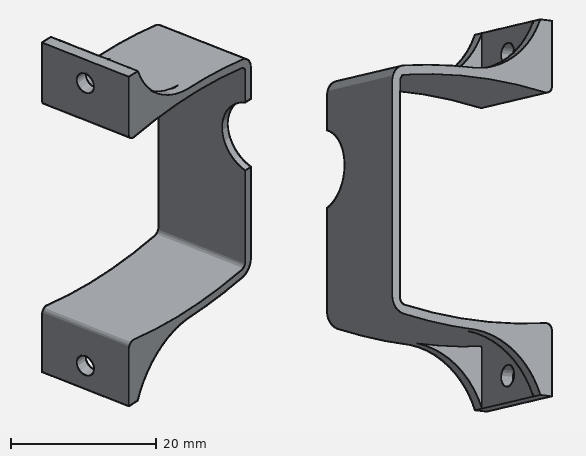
import cadquery as cq
import math

WIDTH = 15.2
DEPTH = 27.3
HEIGHT = 52.5

STRIP_THICKNESS = 1.3
BOW_INNER_RADIUS = 80.0
BOW_CENTER_Y = 13.05
BOW_INNER_PEAK_Z = 17.0
BEND_INNER_RADIUS = 1.0

FLANGE_THICKNESS = 2.0
FLANGE_LIP_RADIUS = 1.0
SWEEP_RADIUS = 12.7
SCREW_HOLE_DIAMETER = 3.0
SCREW_HOLE_Z = 22.5

WEB_THICKNESS = 1.65
POCKET_ROOT_RADIUS = 0.25

NOTCH_RADIUS = 5.65
NOTCH_DEPTH = 4.05
NOTCH_Z = 4.8

HALF_HEIGHT = HEIGHT / 2
WALL_INNER_Y = DEPTH - STRIP_THICKNESS
BEND_OUTER_RADIUS = BEND_INNER_RADIUS + STRIP_THICKNESS
BOW_OUTER_RADIUS = BOW_INNER_RADIUS + STRIP_THICKNESS
BOW_CENTER_Z = BOW_INNER_PEAK_Z - BOW_INNER_RADIUS
BOW_OUTER_PEAK_Z = BOW_INNER_PEAK_Z + STRIP_THICKNESS
POCKET_WIDTH = WIDTH - 2 * WEB_THICKNESS


def bow_z(y, radius):
    """Height of a bow arc of the given radius at depth y."""
    return BOW_CENTER_Z + math.sqrt(radius**2 - (y - BOW_CENTER_Y) ** 2)


def bow_point(y, radius):
    return (y, bow_z(y, radius))


def edges_at(solid, y, z):
    """The X-parallel edge of the solid running through (y, z)."""
    reach = 0.01
    box = cq.selectors.BoxSelector(
        (-WIDTH, y - reach, z - reach), (WIDTH, y + reach, z + reach)
    )
    return solid.edges("|X").edges(box)


def make_arm():
    """Upper half of the strip with its flange, cut off at mid height."""
    bow_peak = (BOW_CENTER_Y, BOW_OUTER_PEAK_Z)
    outer_mid_y = (DEPTH + BOW_CENTER_Y) / 2
    arm = (
        cq.Workplane("YZ")
        .moveTo(DEPTH, 0)
        .lineTo(*bow_point(DEPTH, BOW_OUTER_RADIUS))
        .threePointArc(bow_point(outer_mid_y, BOW_OUTER_RADIUS), bow_peak)
        .radiusArc((FLANGE_THICKNESS, HALF_HEIGHT), SWEEP_RADIUS)
        .lineTo(0, HALF_HEIGHT)
        .lineTo(*bow_point(0, BOW_INNER_RADIUS))
        .threePointArc(
            (BOW_CENTER_Y, BOW_INNER_PEAK_Z), bow_point(WALL_INNER_Y, BOW_INNER_RADIUS)
        )
        .lineTo(WALL_INNER_Y, 0)
        .close()
        .extrude(WIDTH / 2, both=True)
    )
    rounded_corners = [
        (DEPTH, BOW_OUTER_RADIUS, BEND_OUTER_RADIUS),
        (WALL_INNER_Y, BOW_INNER_RADIUS, BEND_INNER_RADIUS),
        (0, BOW_INNER_RADIUS, FLANGE_LIP_RADIUS),
    ]
    for y, bow_radius, fillet_radius in rounded_corners:
        arm = edges_at(arm, y, bow_z(y, bow_radius)).fillet(fillet_radius)
    return arm


def make_pocket():
    """Space between the side webs; its floor carries on the outer bow to the flange."""
    floor_mid_y = (BOW_CENTER_Y + FLANGE_THICKNESS) / 2
    pocket = (
        cq.Workplane("YZ")
        .moveTo(BOW_CENTER_Y, BOW_OUTER_PEAK_Z)
        .threePointArc(
            bow_point(floor_mid_y, BOW_OUTER_RADIUS),
            bow_point(FLANGE_THICKNESS, BOW_OUTER_RADIUS),
        )
        .lineTo(FLANGE_THICKNESS, HALF_HEIGHT)
        .lineTo(BOW_CENTER_Y, HALF_HEIGHT)
        .close()
        .extrude(POCKET_WIDTH / 2, both=True)
    )
    root_z = bow_z(FLANGE_THICKNESS, BOW_OUTER_RADIUS)
    return edges_at(pocket, FLANGE_THICKNESS, root_z).fillet(POCKET_ROOT_RADIUS)


def make_screw_hole():
    return (
        cq.Workplane("XZ")
        .center(0, SCREW_HOLE_Z)
        .circle(SCREW_HOLE_DIAMETER / 2)
        .extrude(-BOW_CENTER_Y)
    )


def make_notch():
    notch_center_x = WIDTH / 2 - NOTCH_DEPTH + NOTCH_RADIUS
    return (
        cq.Workplane("XZ", origin=(0, BOW_CENTER_Y, 0))
        .center(notch_center_x, NOTCH_Z)
        .circle(NOTCH_RADIUS)
        .extrude(-DEPTH)
    )


upper_half = make_arm().cut(make_pocket()).cut(make_screw_hole())
lower_half = upper_half.mirror("XY")
result = upper_half.union(lower_half).cut(make_notch())